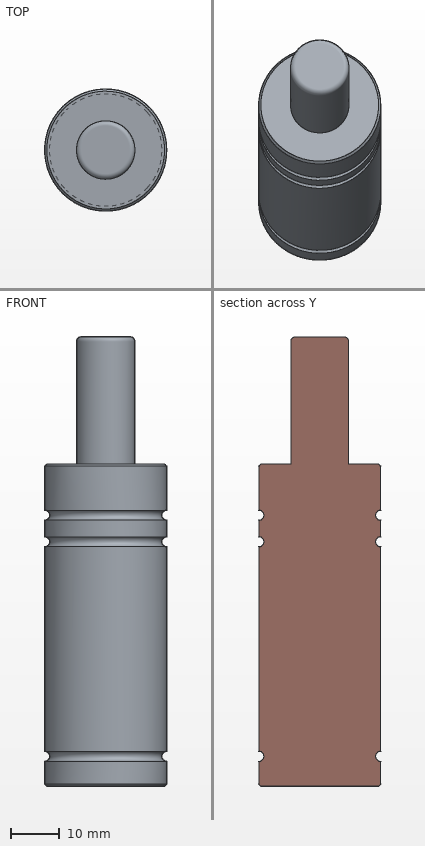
import cadquery as cq

total_height = 92.0
body_diameter = 25.0
body_height = 66.0
body_edge_chamfer = 0.5

rod_diameter = 12.0
rod_tip_fillet = 1.0

groove_radius = 1.0
groove_heights = (6.2, 50.05, 55.5)


def make_body():
    """Cylinder body with small chamfers on both end edges."""
    body = cq.Workplane("XY").circle(body_diameter / 2).extrude(body_height)
    return body.faces("<Z or >Z").edges().chamfer(body_edge_chamfer)


def make_rod():
    """Piston rod rising from the body top, with a rounded tip."""
    rod = (
        cq.Workplane("XY")
        .workplane(offset=body_height)
        .circle(rod_diameter / 2)
        .extrude(total_height - body_height)
    )
    return rod.faces(">Z").edges().fillet(rod_tip_fillet)


def make_groove_cutter(height):
    """Ring of round section centred on the body surface."""
    return (
        cq.Workplane("XZ")
        .center(body_diameter / 2, height)
        .circle(groove_radius)
        .revolve(360, (-body_diameter / 2, 0), (-body_diameter / 2, 1))
    )


result = make_body().union(make_rod())
for groove_height in groove_heights:
    result = result.cut(make_groove_cutter(groove_height))